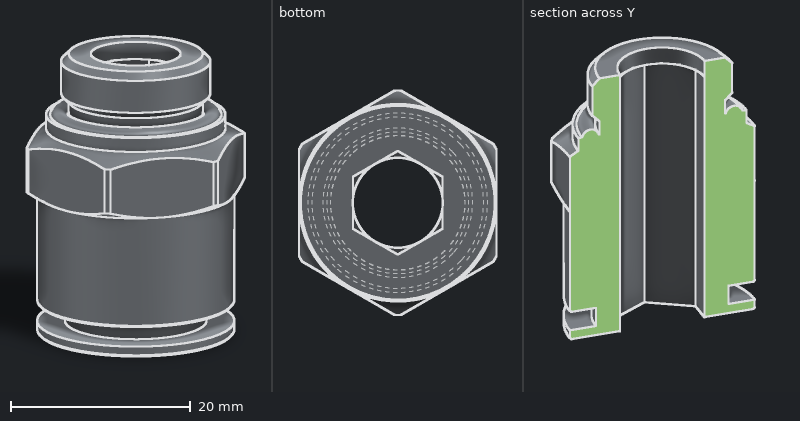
import cadquery as cq
import math

COLLAR_HEIGHT = 1.2
BODY_BOTTOM = 3.4
HEX_BOTTOM = 16.0
HEX_TOP = 23.4
SEAT_TOP = 25.0
NECK_TOP = 26.6
TOTAL_HEIGHT = 32.0

BODY_DIAMETER = 22.0
COLLET_DIAMETER = 15.8
SEAT_DIAMETER = 20.0
NECK_DIAMETER = 14.95
THREAD_DIAMETER = 16.66

HEX_SIDES = 6
HEX_ACROSS_FLATS = BODY_DIAMETER
HEX_CORNER_DIAMETER = 25.0
HEX_BEVEL_ANGLE = math.radians(30)

SEAL_SECTION_RADIUS = 1.05
SEAL_CENTRE_DIAMETER = NECK_DIAMETER + 2 * SEAL_SECTION_RADIUS
SEAL_CENTRE_DEPTH = 0.25

BORE_DIAMETER = 10.0
BORE_DEPTH = 2.0
SOCKET_ACROSS_FLATS = 10.0

EDGE_CHAMFER = 0.2
THREAD_CHAMFER = (THREAD_DIAMETER - NECK_DIAMETER) / 2


def cylinder(diameter, bottom, top):
    return cq.Workplane("XY").workplane(offset=bottom).circle(diameter / 2).extrude(top - bottom)


def hex_prism(across_flats, bottom, top):
    """Hexagonal prism with corners on the Y axis and flats facing +X and -X."""
    half_side_angle = 180 / HEX_SIDES
    across_corners = across_flats / math.cos(math.radians(half_side_angle))
    prism = cq.Workplane("XY").workplane(offset=bottom).polygon(HEX_SIDES, across_corners).extrude(top - bottom)
    return prism.rotate((0, 0, 0), (0, 0, 1), half_side_angle)


def make_hex_nut():
    """Hexagon with its corners turned round and beveled at both ends."""
    corner_radius = HEX_CORNER_DIAMETER / 2
    top_radius = SEAT_DIAMETER / 2
    bottom_radius = BODY_DIAMETER / 2
    top_bevel = (corner_radius - top_radius) * math.tan(HEX_BEVEL_ANGLE)
    bottom_bevel = (corner_radius - bottom_radius) * math.tan(HEX_BEVEL_ANGLE)
    envelope = (
        cq.Workplane("XZ")
        .moveTo(0, HEX_BOTTOM)
        .lineTo(bottom_radius, HEX_BOTTOM)
        .lineTo(corner_radius, HEX_BOTTOM + bottom_bevel)
        .lineTo(corner_radius, HEX_TOP - top_bevel)
        .lineTo(top_radius, HEX_TOP)
        .lineTo(0, HEX_TOP)
        .close()
        .revolve()
    )
    return hex_prism(HEX_ACROSS_FLATS, HEX_BOTTOM, HEX_TOP).intersect(envelope)


def make_release_collet():
    """Narrow sleeve ending in a wide collar at the bottom."""
    collar = cylinder(BODY_DIAMETER, 0, COLLAR_HEIGHT).faces("<Z").chamfer(EDGE_CHAMFER)
    sleeve = cylinder(COLLET_DIAMETER, 0, BODY_BOTTOM)
    return collar.union(sleeve)


def make_body():
    return cylinder(BODY_DIAMETER, BODY_BOTTOM, HEX_BOTTOM).faces("<Z").chamfer(EDGE_CHAMFER)


def make_threaded_end():
    """Seat, undercut neck and plain thread cylinder beveled at both ends."""
    seat = cylinder(SEAT_DIAMETER, HEX_TOP, SEAT_TOP)
    neck = cylinder(NECK_DIAMETER, SEAT_TOP, NECK_TOP)
    thread = cylinder(THREAD_DIAMETER, NECK_TOP, TOTAL_HEIGHT).edges().chamfer(THREAD_CHAMFER)
    return seat.union(neck).union(thread)


def make_seal():
    """Sealing ring partly sunk into the seat."""
    centre = cq.Vector(0, 0, SEAT_TOP - SEAL_CENTRE_DEPTH)
    return cq.Workplane(cq.Solid.makeTorus(SEAL_CENTRE_DIAMETER / 2, SEAL_SECTION_RADIUS, centre))


def make_passage():
    """Round bore at the top, opening into a hexagonal passage to the bottom."""
    bore_bottom = TOTAL_HEIGHT - BORE_DEPTH
    bore = cylinder(BORE_DIAMETER, bore_bottom, TOTAL_HEIGHT)
    return bore.union(hex_prism(SOCKET_ACROSS_FLATS, 0, bore_bottom))


outside = make_release_collet().union(make_body()).union(make_hex_nut())
outside = outside.union(make_threaded_end()).union(make_seal())
result = outside.cut(make_passage())